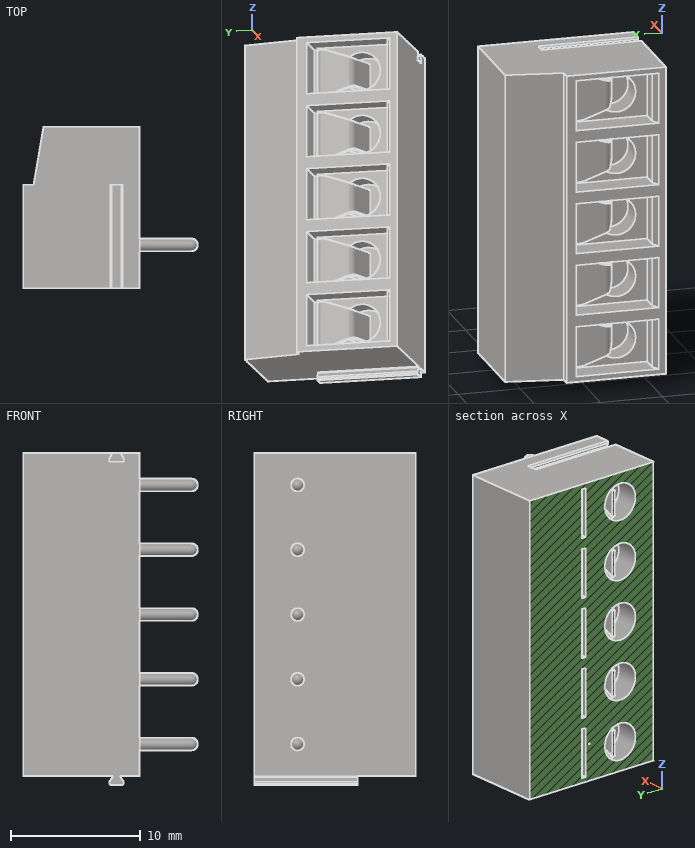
import cadquery as cq
import math

pole_count = 5
pitch = 5.0
housing_depth = 9.01
housing_height = 12.5
housing_length = 24.99
end_margin = (housing_length - (pole_count - 1) * pitch) / 2
pole_heights = [end_margin + i * pitch for i in range(pole_count)]

step_height = 8.0
step_depth = 0.8
slope_top_setback = 1.57

dovetail_x = 7.22
overall_length = 25.68
dovetail_height = overall_length - housing_length
rib_neck_half = 0.3
rib_wide_half = 0.56
rib_neck_height = 0.08
rib_flare_height = 0.44
rib_tip_chamfer = 0.1
groove_mouth_half = 0.5
groove_neck_half = 0.39
groove_wide_half = 0.56
groove_neck_depth = 0.15
groove_flare_depth = 0.45

pocket_width = 4.05
pocket_depth = 2.05
pocket_bottom = 0.6
lead_in_height = 0.33
lead_in_depth = 0.6
slot_depth = 2.57
pocket_top = 7.22

pole_y = 3.36
pin_diameter = 1.0
pin_radius = pin_diameter / 2
overall_depth = 13.5
pin_length = overall_depth - housing_depth

hole_radius = 1.52
guard_thickness = 0.25
guard_top = 6.85
guard_top_bend = 0.35
guard_bend_start = 4.4
guard_bend_radius = 0.55
guard_bend_angle = math.radians(70)
guard_leg_end = 3.15
guard_wide_half = 1.85
guard_taper_start = 6.21
guard_narrow_half = 1.05


def make_housing():
    outline = [
        (0, 0),
        (housing_depth, 0),
        (housing_depth, housing_height),
        (slope_top_setback, housing_height),
        (step_depth, step_height),
        (0, step_height),
    ]
    return cq.Workplane("XY").polyline(outline).close().extrude(housing_length)


def dovetail(half_profile, base_z):
    """Prism along Y from (half width, distance below base_z) points, mirrored about dovetail_x."""
    right = [(dovetail_x + half, base_z - drop) for half, drop in half_profile]
    left = [(dovetail_x - half, base_z - drop) for half, drop in reversed(half_profile)]
    return cq.Workplane("XZ").polyline(right + left).close().extrude(-step_height)


def make_rib():
    return dovetail([
        (rib_neck_half, 0),
        (rib_neck_half, rib_neck_height),
        (rib_wide_half, rib_flare_height),
        (rib_wide_half, dovetail_height - rib_tip_chamfer),
        (rib_wide_half - rib_tip_chamfer, dovetail_height),
    ], 0)


def make_groove():
    return dovetail([
        (groove_mouth_half, 0),
        (groove_neck_half, groove_neck_depth),
        (groove_wide_half, groove_flare_depth),
        (groove_wide_half, dovetail_height),
    ], housing_length)


guard_face_x = pocket_depth - guard_thickness
guard_bend_center = (guard_face_x + guard_bend_radius, guard_bend_start)


def bend_point(radius, angle):
    """Point on the guard bend, with the angle measured from the flat part."""
    center_x, center_y = guard_bend_center
    return (center_x - radius * math.cos(angle), center_y - radius * math.sin(angle))


leg_start = bend_point(guard_bend_radius, guard_bend_angle)
hole_floor_x = leg_start[0] + (leg_start[1] - guard_leg_end) * math.tan(guard_bend_angle)
hole_depth = hole_floor_x - pocket_depth


def make_pocket():
    outline = [
        (0, pocket_bottom),
        (lead_in_depth, pocket_bottom + lead_in_height),
        (pocket_depth, pocket_bottom + lead_in_height),
        (pocket_depth, guard_top),
        (slot_depth, guard_top),
        (slot_depth, pocket_top),
        (0, pocket_top),
    ]
    pocket = cq.Workplane("XY").polyline(outline).close().extrude(pocket_width / 2, both=True)
    hole = (
        cq.Workplane("YZ", origin=(pocket_depth, pole_y, 0))
        .circle(hole_radius)
        .extrude(hole_depth)
    )
    return pocket.union(hole)


def make_guard():
    inner_radius = guard_bend_radius - guard_thickness
    half_angle = guard_bend_angle / 2
    leg_back_y = guard_leg_end + guard_thickness / math.sin(guard_bend_angle)
    top_bend_mid = guard_top_bend * (1 - math.cos(math.radians(45)))
    strip = (
        cq.Workplane("XY")
        .moveTo(guard_face_x + guard_top_bend, guard_top)
        .threePointArc(
            (guard_face_x + top_bend_mid, guard_top - top_bend_mid),
            (guard_face_x, guard_top - guard_top_bend),
        )
        .lineTo(guard_face_x, guard_bend_start)
        .threePointArc(bend_point(guard_bend_radius, half_angle), leg_start)
        .lineTo(hole_floor_x, guard_leg_end)
        .lineTo(hole_floor_x, leg_back_y)
        .lineTo(*bend_point(inner_radius, guard_bend_angle))
        .threePointArc(bend_point(inner_radius, half_angle), (pocket_depth, guard_bend_start))
        .close()
        .extrude(guard_wide_half, both=True)
    )
    taper = (
        cq.Workplane("YZ")
        .polyline([
            (guard_top, guard_wide_half),
            (guard_taper_start, guard_wide_half),
            (leg_start[1], guard_narrow_half),
            (guard_leg_end, guard_narrow_half),
            (guard_leg_end, -guard_narrow_half),
            (leg_start[1], -guard_narrow_half),
            (guard_taper_start, -guard_wide_half),
            (guard_top, -guard_wide_half),
        ])
        .close()
        .extrude(housing_depth)
    )
    return strip.intersect(taper)


def make_pin():
    shank_length = pin_length - pin_radius
    shank = cq.Workplane("YZ", origin=(housing_depth, pole_y, 0)).circle(pin_radius).extrude(shank_length)
    tip_center = (housing_depth + shank_length, pole_y, 0)
    tip = cq.Workplane("XY", origin=tip_center).sphere(pin_radius)
    return shank.union(tip)


result = make_housing().cut(make_groove()).union(make_rib())
pocket = make_pocket()
guard = make_guard()
pin = make_pin()
for pole_z in pole_heights:
    place = (0, 0, pole_z)
    result = result.cut(pocket.translate(place))
    result = result.union(guard.translate(place))
    result = result.union(pin.translate(place))